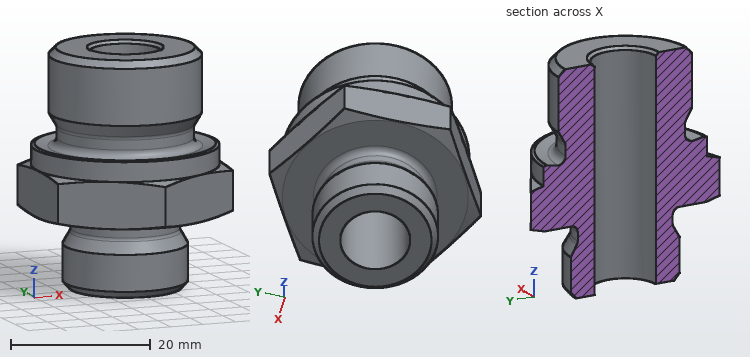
import cadquery as cq
import math

total_height = 35.0
hex_bottom = 11.0
hex_thickness = 7.0
hex_top = hex_bottom + hex_thickness
collar_top = 21.0
collar_overlap = 0.35
collar_bottom = hex_top - collar_overlap

across_flats = 27.0
across_corners = across_flats / math.cos(math.radians(30))
hex_chamfer_radius = 13.3
hex_chamfer_angle = 15.0
envelope_clearance = 0.35

bore_diameter = 10.0
bore_chamfer = 0.5

end_chamfer_height = 1.05
undercut_angle = 30.0
undercut_fillet = 1.0

upper_radius = 22.0 / 2
upper_face_radius = 9.98
upper_groove_radius = 19.7 / 2
upper_thread_base = 25.62

lower_radius = 18.0 / 2
lower_face_radius = 8.05
lower_groove_radius = 15.7 / 2
lower_thread_base = 6.45
lower_root_fillet = 1.0

collar_radius = across_flats / 2
collar_rim_radius = 13.0
collar_rim_drop = 0.18
recess_depth = 0.35
recess_fillet = 1.22


def undercut_corner_offset(thread_radius, groove_radius):
    """Axial length of the cone that joins a thread to its groove, without the fillet."""
    return (thread_radius - groove_radius) / math.tan(math.radians(undercut_angle))


def undercut_fillet_points(groove_radius, corner_z, thread_direction):
    """Groove end, arc middle and cone end of the fillet between groove and cone."""
    angle = math.radians(undercut_angle)
    groove_end = corner_z - thread_direction * undercut_fillet * math.tan(angle / 2)

    def arc_point(turn):
        radius = groove_radius + undercut_fillet * (1 - math.cos(turn))
        return radius, groove_end + thread_direction * undercut_fillet * math.sin(turn)

    return arc_point(0), arc_point(angle / 2), arc_point(angle)


def quarter_arc_middle(groove_radius, face_z, radius, groove_direction):
    """Middle of a quarter-circle fillet between a groove and a flat face."""
    sag = radius * (1 - math.sqrt(0.5))
    return groove_radius + sag, face_z + groove_direction * sag


def turned_body():
    lower_corner = lower_thread_base + undercut_corner_offset(lower_radius, lower_groove_radius)
    lower_start, lower_middle, lower_end = undercut_fillet_points(
        lower_groove_radius, lower_corner, -1)
    upper_corner = upper_thread_base - undercut_corner_offset(upper_radius, upper_groove_radius)
    upper_start, upper_middle, upper_end = undercut_fillet_points(
        upper_groove_radius, upper_corner, 1)
    recess_floor = collar_top - recess_depth

    profile = (
        cq.Workplane("XZ")
        .moveTo(0, 0)
        .lineTo(lower_face_radius, 0)
        .lineTo(lower_radius, end_chamfer_height)
        .lineTo(lower_radius, lower_thread_base)
        .lineTo(*lower_end)
        .threePointArc(lower_middle, lower_start)
        .lineTo(lower_groove_radius, hex_bottom - lower_root_fillet)
        .threePointArc(
            quarter_arc_middle(lower_groove_radius, hex_bottom, lower_root_fillet, -1),
            (lower_groove_radius + lower_root_fillet, hex_bottom))
        .lineTo(lower_groove_radius + lower_root_fillet, collar_bottom)
        .lineTo(collar_radius, collar_bottom)
        .lineTo(collar_radius, collar_top - collar_rim_drop)
        .lineTo(collar_rim_radius, collar_top)
        .lineTo(upper_groove_radius + recess_fillet, recess_floor)
        .threePointArc(
            quarter_arc_middle(upper_groove_radius, recess_floor, recess_fillet, 1),
            (upper_groove_radius, recess_floor + recess_fillet))
        .lineTo(*upper_start)
        .threePointArc(upper_middle, upper_end)
        .lineTo(upper_radius, upper_thread_base)
        .lineTo(upper_radius, total_height - end_chamfer_height)
        .lineTo(upper_face_radius, total_height)
        .lineTo(0, total_height)
        .close()
    )
    return profile.revolve(360, (0, 0, 0), (0, 1, 0))


def chamfered_hexagon():
    """Hexagon with two corners on the Y axis, its corners turned off on both ends."""
    prism = (
        cq.Workplane("XY")
        .workplane(offset=hex_bottom)
        .polygon(6, across_corners)
        .extrude(hex_thickness)
        .rotate((0, 0, 0), (0, 0, 1), 30)
    )
    envelope_radius = across_corners / 2 + envelope_clearance
    drop = (envelope_radius - hex_chamfer_radius) * math.tan(math.radians(hex_chamfer_angle))
    envelope = (
        cq.Workplane("XZ")
        .polyline([
            (0, hex_bottom),
            (hex_chamfer_radius, hex_bottom),
            (envelope_radius, hex_bottom + drop),
            (envelope_radius, hex_top - drop),
            (hex_chamfer_radius, hex_top),
            (0, hex_top),
        ])
        .close()
        .revolve(360, (0, 0, 0), (0, 1, 0))
    )
    return prism.intersect(envelope)


def bore():
    """Through bore with a chamfer at the top mouth."""
    radius = bore_diameter / 2
    return (
        cq.Workplane("XZ")
        .polyline([
            (0, 0),
            (radius, 0),
            (radius, total_height - bore_chamfer),
            (radius + bore_chamfer, total_height),
            (0, total_height),
        ])
        .close()
        .revolve(360, (0, 0, 0), (0, 1, 0))
    )


result = turned_body().union(chamfered_hexagon()).cut(bore())